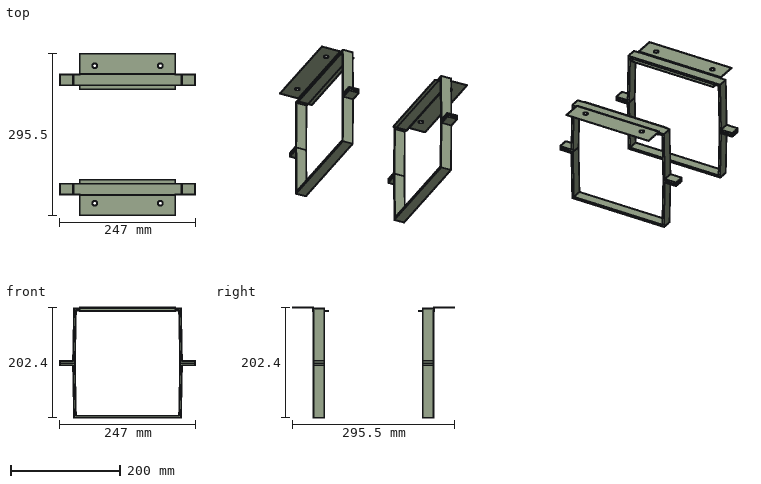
import cadquery as cq

frame_spacing = 200.0
strap_width = 20.0
strap_thickness = 4.0
frame_height = 200.0
crossbar_length = 196.0
split_width = 200.0
ear_span = 247.0

bracket_length = 175.0
sheet_thickness = 0.75
bracket_rise = 2.4
overall_depth = 295.5
lip_width = 28.0
hole_diameter = 8.5
hole_pitch = 120.0
hole_edge_distance = 22.0

half_height = frame_height / 2
frame_offset = frame_spacing / 2
web_inner = frame_offset + strap_width / 2
web_outer = web_inner + sheet_thickness


def half_strap(side, direction):
    """Flared U strap with two ears; direction is +1 for upper, -1 for lower."""
    leg_slope = (split_width - crossbar_length) / 2 / half_height
    outer_at_ear = split_width / 2 - leg_slope * strap_thickness
    inner_at_split = split_width / 2 - strap_thickness
    inner_at_crossbar = inner_at_split - leg_slope * (half_height - strap_thickness)
    right_half = [
        (crossbar_length / 2, half_height),
        (outer_at_ear, strap_thickness),
        (ear_span / 2, strap_thickness),
        (ear_span / 2, 0),
        (inner_at_split, 0),
        (inner_at_crossbar, half_height - strap_thickness),
    ]
    left_half = [(-x, z) for x, z in reversed(right_half)]
    outline = [(x, direction * z) for x, z in right_half + left_half]
    return (
        cq.Workplane("XZ", origin=(0, side * frame_offset, 0))
        .polyline(outline)
        .close()
        .extrude(strap_width / 2, both=True)
    )


def bracket(side):
    """Z-section: drilled flange outward, web beside the crossbar, lip beneath it."""
    flange_top = half_height + bracket_rise
    flange_bottom = flange_top - sheet_thickness
    lip_top = half_height - strap_thickness
    lip_bottom = lip_top - sheet_thickness
    flange_edge = overall_depth / 2
    lip_edge = web_outer - lip_width
    section = [
        (web_inner, flange_top),
        (flange_edge, flange_top),
        (flange_edge, flange_bottom),
        (web_outer, flange_bottom),
        (web_outer, lip_bottom),
        (lip_edge, lip_bottom),
        (lip_edge, lip_top),
        (web_inner, lip_top),
    ]
    sheet = (
        cq.Workplane("YZ")
        .polyline([(side * y, z) for y, z in section])
        .close()
        .extrude(bracket_length / 2, both=True)
    )
    holes = (
        cq.Workplane("XY", origin=(0, side * (flange_edge - hole_edge_distance), flange_bottom))
        .pushPoints([(-hole_pitch / 2, 0), (hole_pitch / 2, 0)])
        .circle(hole_diameter / 2)
        .extrude(sheet_thickness)
    )
    return sheet.cut(holes)


bodies = []
for side in (-1, 1):
    upper_strap = half_strap(side, 1)
    lower_strap = half_strap(side, -1)
    hanger = bracket(side)
    bodies += [upper_strap.val(), lower_strap.val(), hanger.val()]

result = cq.Compound.makeCompound(bodies)